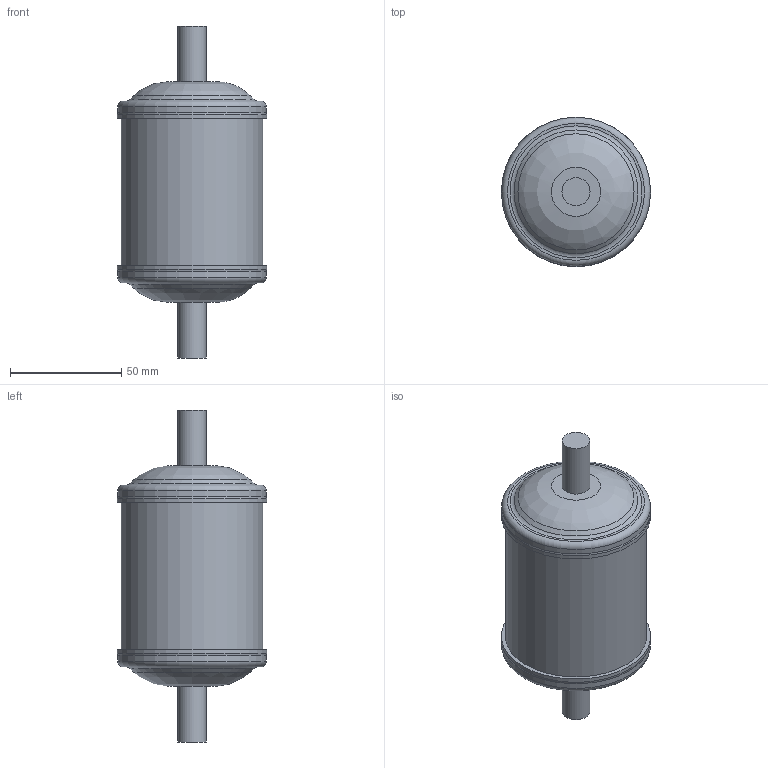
import cadquery as cq
import math

total_length = 149.0
stub_length = 25.0
body_length = 66.0
lip_height = 1.75
lip_taper_height = 0.9

stub_diameter = 12.6
body_diameter = 63.5
cap_diameter = 66.7
lip_diameter = 67.0
dome_flat_diameter = 22.0

slope_angle = math.radians(45)
dome_radius = 21.3
cone_length = 2.4
hollow_radius = 2.6
rim_radius = 2.6

quarter_turn = math.radians(90)
half_length = total_length / 2
stub_radius = stub_diameter / 2
cap_radius = cap_diameter / 2
lip_radius = lip_diameter / 2

crown_height = half_length - stub_length
lip_bottom = body_length / 2
lip_top = lip_bottom + lip_height
cap_wall_bottom = lip_top + lip_taper_height


def arc_point(center, radius, angle):
    """Point (r, z) on an arc, with the angle measured from +Z towards +r."""
    return (center[0] + radius * math.sin(angle), center[1] + radius * math.cos(angle))


def make_upper_end():
    """Revolve the upper cap and its tube stub about the Z axis."""
    crown_edge = (dome_flat_diameter / 2, crown_height)
    dome_center = (crown_edge[0], crown_height - dome_radius)
    dome_middle = arc_point(dome_center, dome_radius, slope_angle / 2)
    dome_end = arc_point(dome_center, dome_radius, slope_angle)

    cone_end = (
        dome_end[0] + cone_length * math.cos(slope_angle),
        dome_end[1] - cone_length * math.sin(slope_angle),
    )

    hollow_center = arc_point(cone_end, hollow_radius, slope_angle)
    hollow_middle = arc_point(hollow_center, -hollow_radius, slope_angle / 2)
    hollow_end = arc_point(hollow_center, -hollow_radius, 0)

    shoulder_height = hollow_end[1]
    rim_center = (cap_radius - rim_radius, shoulder_height - rim_radius)
    rim_start = arc_point(rim_center, rim_radius, 0)
    rim_middle = arc_point(rim_center, rim_radius, quarter_turn / 2)
    rim_end = arc_point(rim_center, rim_radius, quarter_turn)

    profile = (
        cq.Workplane("XZ")
        .moveTo(0, lip_bottom)
        .lineTo(0, half_length)
        .lineTo(stub_radius, half_length)
        .lineTo(stub_radius, crown_height)
        .lineTo(*crown_edge)
        .threePointArc(dome_middle, dome_end)
        .lineTo(*cone_end)
        .threePointArc(hollow_middle, hollow_end)
        .lineTo(*rim_start)
        .threePointArc(rim_middle, rim_end)
        .lineTo(cap_radius, cap_wall_bottom)
        .lineTo(lip_radius, lip_top)
        .lineTo(lip_radius, lip_bottom)
        .close()
    )
    return profile.revolve(360, (0, 0, 0), (0, 1, 0))


def make_body():
    """Plain cylinder joining the two caps, centred on the origin."""
    return cq.Workplane("XY").cylinder(body_length, body_diameter / 2)


upper_end = make_upper_end()
lower_end = upper_end.mirror("XY")
result = make_body().union(upper_end).union(lower_end)